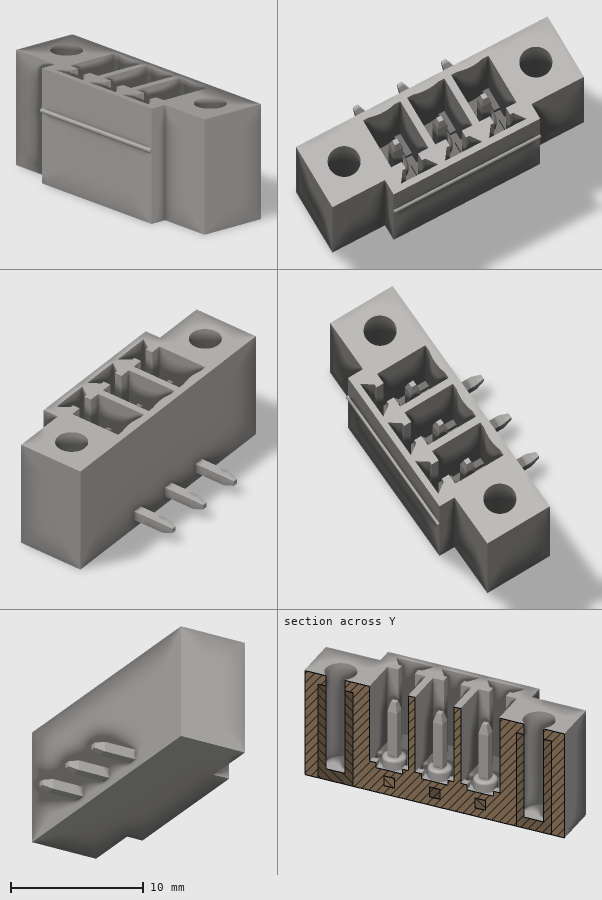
import cadquery as cq


LENGTH = 21.82
HEIGHT = 9.2
FLANGE_DEPTH = 5.65
BODY_LENGTH = 12.7
BODY_DEPTH = 7.0
RIDGE_RADIUS = 0.2
RIDGE_Z = 5.83

PITCH = 3.82
AXIS_Y = -FLANGE_DEPTH / 2
CONTACT_XS = [-PITCH, 0, PITCH]

POCKET_FLOOR_Z = 2.62
POCKET_HALF_WIDTH = 1.61
POCKET_BACK_Y = -0.61
POCKET_FRONT_Y = -4.97
BULGE_Y = -0.76
NECK_HALF_WIDTH = 0.7
NECK_END_Y = -5.6
DOVETAIL_HALF_WIDTH = 0.98
DOVETAIL_FRONT_Y = -6.5

RECESS_DEPTH = 0.44
RECESS_HALF_WIDTH = 1.1
RECESS_FRONT_Y = -4.52

BOSS_DIAMETER = 1.9
BOSS_HEIGHT = 0.87
BOSS_FILLET = 0.25

PIN_WIDTH = 0.8
PIN_TIP_WIDTH = 0.41
PIN_TAPER = 0.8
PIN_TOP_Z = HEIGHT - 1.45
LEG_Z = 1.18
LEG_REACH = 3.5

HOLE_DIAMETER = 2.5
HOLE_X = 8.31
SLEEVE_DIAMETER = 3.5
SLEEVE_TOP_Z = HEIGHT - 0.95
SLEEVE_FLOOR = 1.0
SLEEVE_XS = [-HOLE_X, HOLE_X]

RECESS_FLOOR_Z = POCKET_FLOOR_Z - RECESS_DEPTH
CROSS_SLOT_WIDTH = PIN_WIDTH


def box(length, back_y, front_y, bottom_z, top_z):
    """A block centred on X = 0 between the given Y and Z limits."""
    return (
        cq.Workplane("XY", origin=(0, (back_y + front_y) / 2, bottom_z))
        .rect(length, back_y - front_y)
        .extrude(top_z - bottom_z)
    )


def cylinder(diameter, bottom_z, top_z):
    """An upright cylinder on the contact row at X = 0."""
    return cq.Workplane("XY", origin=(0, AXIS_Y, bottom_z)).circle(diameter / 2).extrude(top_z - bottom_z)


def make_pin(x):
    """A square pin with a leg bent out through the back; both of its ends taper."""
    half = PIN_WIDTH / 2
    taper_start_z = PIN_TOP_Z - PIN_TAPER
    taper_start_y = LEG_REACH - PIN_TAPER
    post = box(PIN_WIDTH, AXIS_Y + half, AXIS_Y - half, LEG_Z - half, taper_start_z)
    leg = box(PIN_WIDTH, taper_start_y, AXIS_Y - half, LEG_Z - half, LEG_Z + half)
    post_tip = (
        cq.Workplane("XY", origin=(0, AXIS_Y, taper_start_z))
        .rect(PIN_WIDTH, PIN_WIDTH)
        .workplane(offset=PIN_TAPER)
        .rect(PIN_TIP_WIDTH, PIN_TIP_WIDTH)
        .loft(ruled=True)
    )
    leg_tip = (
        cq.Workplane("XZ", origin=(0, taper_start_y, LEG_Z))
        .rect(PIN_WIDTH, PIN_WIDTH)
        .workplane(offset=-PIN_TAPER)
        .rect(PIN_TIP_WIDTH, PIN_TIP_WIDTH)
        .loft(ruled=True)
    )
    return post.union(leg).union(post_tip).union(leg_tip).translate((x, 0, 0))


def make_sleeve(x):
    """A round sleeve with a blind bore, open at its top."""
    sleeve = cylinder(SLEEVE_DIAMETER, 0, SLEEVE_TOP_Z)
    bore = cylinder(HOLE_DIAMETER, SLEEVE_FLOOR, SLEEVE_TOP_Z)
    return sleeve.cut(bore).translate((x, 0, 0))


def pocket():
    """The space for one mating contact: a bulged rectangle, a neck and a dovetail."""
    return (
        cq.Workplane("XY", origin=(0, 0, POCKET_FLOOR_Z))
        .moveTo(-POCKET_HALF_WIDTH, POCKET_BACK_Y)
        .lineTo(-RECESS_HALF_WIDTH, POCKET_BACK_Y)
        .threePointArc((0, BULGE_Y), (RECESS_HALF_WIDTH, POCKET_BACK_Y))
        .lineTo(POCKET_HALF_WIDTH, POCKET_BACK_Y)
        .lineTo(POCKET_HALF_WIDTH, POCKET_FRONT_Y)
        .lineTo(NECK_HALF_WIDTH, POCKET_FRONT_Y)
        .lineTo(NECK_HALF_WIDTH, NECK_END_Y)
        .lineTo(DOVETAIL_HALF_WIDTH, NECK_END_Y)
        .lineTo(POCKET_HALF_WIDTH, DOVETAIL_FRONT_Y)
        .lineTo(-POCKET_HALF_WIDTH, DOVETAIL_FRONT_Y)
        .lineTo(-DOVETAIL_HALF_WIDTH, NECK_END_Y)
        .lineTo(-NECK_HALF_WIDTH, NECK_END_Y)
        .lineTo(-NECK_HALF_WIDTH, POCKET_FRONT_Y)
        .lineTo(-POCKET_HALF_WIDTH, POCKET_FRONT_Y)
        .close()
        .extrude(HEIGHT - POCKET_FLOOR_Z)
    )


def floor_recess():
    """The recess below the pocket floor, ending at the bulged back wall, and its cross slot."""
    recess = (
        cq.Workplane("XY", origin=(0, 0, RECESS_FLOOR_Z))
        .moveTo(-RECESS_HALF_WIDTH, POCKET_BACK_Y)
        .threePointArc((0, BULGE_Y), (RECESS_HALF_WIDTH, POCKET_BACK_Y))
        .lineTo(RECESS_HALF_WIDTH, RECESS_FRONT_Y)
        .lineTo(-RECESS_HALF_WIDTH, RECESS_FRONT_Y)
        .close()
        .extrude(RECESS_DEPTH)
    )
    cross_slot = box(
        2 * POCKET_HALF_WIDTH,
        AXIS_Y + CROSS_SLOT_WIDTH / 2,
        AXIS_Y - CROSS_SLOT_WIDTH / 2,
        RECESS_FLOOR_Z,
        POCKET_FLOOR_Z,
    )
    return recess.union(cross_slot)


def boss():
    """The round-edged boss that the pin rises through."""
    plain_boss = cylinder(BOSS_DIAMETER, RECESS_FLOOR_Z, RECESS_FLOOR_Z + BOSS_HEIGHT)
    return plain_boss.faces(">Z").edges().fillet(BOSS_FILLET)


def make_housing(pins, sleeves):
    """The flanged housing, with pockets and with seats that match the pins and sleeves."""
    housing = box(LENGTH, 0, -FLANGE_DEPTH, 0, HEIGHT).union(box(BODY_LENGTH, 0, -BODY_DEPTH, 0, HEIGHT))
    ridge = (
        cq.Workplane("YZ", origin=(-BODY_LENGTH / 2, -BODY_DEPTH, RIDGE_Z))
        .circle(RIDGE_RADIUS)
        .extrude(BODY_LENGTH)
    )
    housing = housing.union(ridge)

    contact_space = pocket().union(floor_recess()).cut(boss())
    for x in CONTACT_XS:
        housing = housing.cut(contact_space.translate((x, 0, 0)))
    for pin in pins:
        housing = housing.cut(pin)

    hole = cylinder(HOLE_DIAMETER, SLEEVE_FLOOR, HEIGHT)
    for x, sleeve in zip(SLEEVE_XS, sleeves):
        housing = housing.cut(hole.translate((x, 0, 0))).cut(sleeve)
    return housing


pins = [make_pin(x) for x in CONTACT_XS]
sleeves = [make_sleeve(x) for x in SLEEVE_XS]
housing = make_housing(pins, sleeves)

bodies = [housing, *pins, *sleeves]
result = cq.Compound.makeCompound([body.solids().val() for body in bodies])